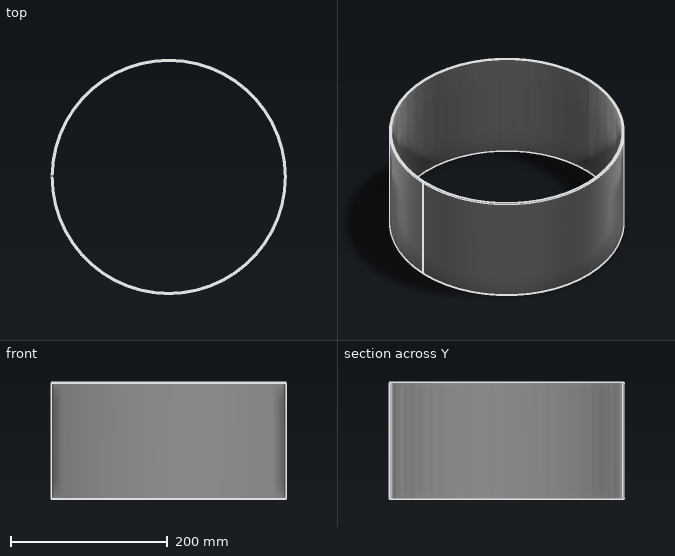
import cadquery as cq

outer_diameter = 300.0
height = 150.0
wall = 2.5
bevel_depth = 0.5
outer_bevel_height = 1.8
inner_bevel_height = 0.5
slit_width = 2.5

outer_radius = outer_diameter / 2
inner_radius = outer_radius - wall

wall_section = [
    (inner_radius, inner_bevel_height),
    (inner_radius + bevel_depth, 0),
    (outer_radius - bevel_depth, 0),
    (outer_radius, outer_bevel_height),
    (outer_radius, height - outer_bevel_height),
    (outer_radius - bevel_depth, height),
    (inner_radius + bevel_depth, height),
    (inner_radius, height - inner_bevel_height),
]
ring = (
    cq.Workplane("XZ")
    .polyline(wall_section)
    .close()
    .revolve(360, (0, 0), (0, 1))
)

slit_length = 4 * wall
slit = (
    cq.Workplane("XY")
    .center(-outer_radius, slit_width / 2)
    .rect(slit_length, slit_width)
    .extrude(height)
)

result = ring.cut(slit)